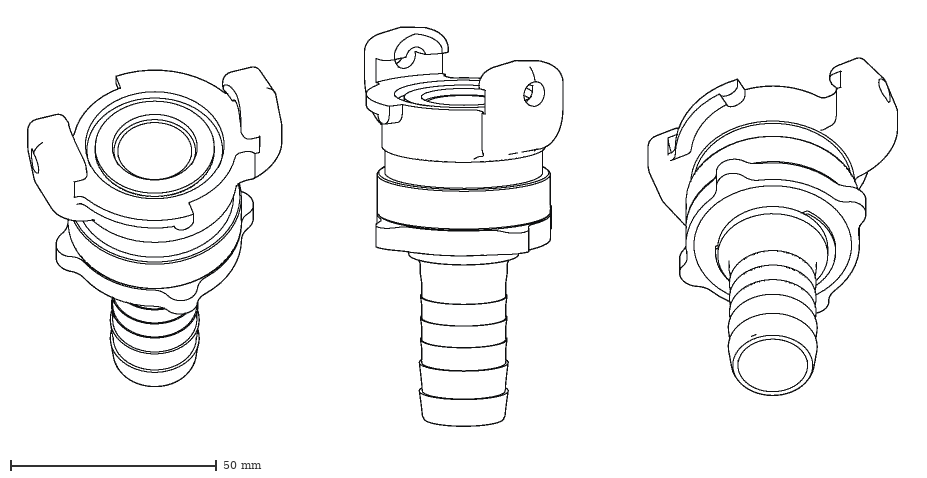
import cadquery as cq
import math

HEAD_TOP_Z = 80.6
BARREL_BOTTOM_Z = 67.6
BARREL_DIA = 39.9
NECK_DIA = 38.4
RECESS_TOP_DIA = 33.8
RECESS_BOTTOM_DIA = 33.0
RECESS_DEPTH = 1.95

FLANGE_RADIUS = 23.75
FLANGE_THICK = 2.9
STOP_RADIUS = 2.5
STOP_BOTTOM_Z = 75.8

CLAW_HALF_WIDTH = 9.8
CLAW_REACH = 31.0
CLAW_EDGE_RADIUS = 1.8
CLAW_FALL = 1 / 7
CLAW_TOP_FALL = 0.1
CLAW_TOP_Z = 92.8
ELBOW_RADIUS = 11.8
ELBOW_Z = 80.9
CLAW_ROOT_Y = 15.8
HOOK_BOTTOM_Z = 86.6
HOOK_MID_Y = 24.9
HOOK_ROUND = 4.8
HOOK_FACE_RADIUS = 21.0
HOOK_WALL_RADIUS = 25.6
CLAW_HOLE_DIA = 6.0
CLAW_HOLE_Z = 85.7
CLAW_BLEND = 1.9
FLANGE_BLEND = 2.0
RELIEF_RADIUS = 2.4
RELIEF_FLOOR_X = 8.5
RELIEF_Y = 20.3

SEAL_DIA = 29.0
SEAL_TOP_BORE = 20.7
SEAL_BOTTOM_BORE = 19.9
SEAL_TOP_Z = 79.9
SEAL_BOTTOM_Z = 78.4

COLLAR_DIA = 42.2
COLLAR_TOP_Z = 61.05
COLLAR_CHAMFER = 0.4
NUT_TOP_Z = 50.9
NUT_BOTTOM_Z = 44.5
NUT_RADIUS = 21.2
LOBE_COUNT = 4
LOBE_TIP_RADIUS = 50.0 / 2
LOBE_RADIUS = 4.2
LOBE_BLEND = 4.6
NUT_FACE_RADIUS = 20.3
NUT_TIP_DROP = 0.65

TAIL_BORE = 17.0
STEM_BORE = 18.0
STEM_DIA = 23.0
TAIL_FLANGE_DIA = 26.8
TAIL_FLANGE_TOP_Z = 43.5
TAIL_FLANGE_BOTTOM_Z = 40.8
TAIL_NECK_DIA = 21.25
TAIL_NECK_BOTTOM_Z = 36.1
TAIL_COVE = 2.8
TAIL_DIA = 20.5
NECK_TAPER_LENGTH = 2.5
SMALL_BARB_DIA = 21.2
SMALL_BARB_COUNT = 3
SMALL_BARB_TOP_Z = 30.4
SMALL_BARB_PITCH = 5.4
SMALL_BARB_LENGTH = 2.4
BIG_BARB_DIA = 21.7
BIG_BARB_FOOT_DIA = 20.2
BIG_BARB_TOP_Z = 13.9
LAST_BARB_TOP_Z = 6.9
TIP_CHAMFER_HEIGHT = 0.8
TIP_DIA = 19.5

RING_DIA = 29.3
RING_OFFSET = 1.5
RING_END_X = -6.0
RING_END_ROUND = 0.7

FAR = 55.7
TOUCH = 0.1


def cylinder(radius, bottom_z, top_z, x=0, y=0):
    return cq.Workplane("XY", origin=(x, y, bottom_z)).circle(radius).extrude(top_z - bottom_z)


def box(x_range, y_range, z_range):
    size = [high - low for low, high in (x_range, y_range, z_range)]
    corner = (x_range[0], y_range[0], z_range[0])
    return cq.Workplane("XY", origin=corner).box(*size, centered=False)


def revolved(profile):
    """Full turn of a closed (radius, z) outline about the Z axis."""
    return cq.Workplane("XZ").polyline(profile).close().revolve(360, (0, 0, 0), (0, 1, 0))


def make_flange_segment():
    """Quarter of the flange in the (+X, -Y) quadrant, with its half-round stop at +X."""
    quadrant = box((0, FAR), (-FAR, 0), (0, 2 * FAR))
    segment = cylinder(FLANGE_RADIUS, HEAD_TOP_Z - FLANGE_THICK, HEAD_TOP_Z).intersect(quadrant)
    stop_center_z = STOP_BOTTOM_Z + STOP_RADIUS
    stop = (
        cq.Workplane("YZ")
        .moveTo(-STOP_RADIUS, HEAD_TOP_Z)
        .lineTo(-STOP_RADIUS, stop_center_z)
        .threePointArc((0, STOP_BOTTOM_Z), (STOP_RADIUS, stop_center_z))
        .lineTo(STOP_RADIUS, HEAD_TOP_Z)
        .close()
        .extrude(FAR)
        .intersect(cylinder(FLANGE_RADIUS, STOP_BOTTOM_Z, HEAD_TOP_Z))
    )
    return segment.union(stop)


def make_hook_top():
    """Rounded block above the elbow, before the hook is opened."""
    half = CLAW_HALF_WIDTH
    depth = CLAW_REACH - HOOK_MID_Y
    side_depth = depth - half * CLAW_FALL
    shoulder_z = CLAW_TOP_Z - half * CLAW_TOP_FALL
    plan = [(0, depth), (half, side_depth), (half, -side_depth),
            (0, -depth), (-half, -side_depth), (-half, side_depth)]
    gable = [(-half, ELBOW_Z), (half, ELBOW_Z), (half, shoulder_z),
             (0, CLAW_TOP_Z), (-half, shoulder_z)]
    block = (
        cq.Workplane("XY", origin=(0, HOOK_MID_Y, ELBOW_Z))
        .polyline(plan).close().extrude(CLAW_TOP_Z - ELBOW_Z)
        .intersect(cq.Workplane("XZ", origin=(0, FAR, 0)).polyline(gable).close().extrude(FAR))
    )
    rim_zone = cq.selectors.BoxSelector((-FAR, 0, shoulder_z - TOUCH), (FAR, FAR, CLAW_TOP_Z - TOUCH))
    block = block.edges(rim_zone).fillet(HOOK_ROUND)
    return block.edges("|Z").edges("<X or >X").fillet(CLAW_EDGE_RADIUS)


def make_claw_arm():
    """Elbow and upright: two mirrored halves whose outer faces slope back from a centre ridge."""
    half = CLAW_HALF_WIDTH
    bend_y = CLAW_REACH - ELBOW_RADIUS
    bend_shift = ELBOW_RADIUS * math.sqrt(0.5)
    arm = (
        cq.Workplane("YZ", origin=(-FAR, 0, 0))
        .moveTo(0, ELBOW_Z - ELBOW_RADIUS)
        .lineTo(bend_y, ELBOW_Z - ELBOW_RADIUS)
        .threePointArc((bend_y + bend_shift, ELBOW_Z - bend_shift), (CLAW_REACH, ELBOW_Z))
        .lineTo(CLAW_REACH, HOOK_BOTTOM_Z)
        .lineTo(0, HOOK_BOTTOM_Z)
        .close()
        .extrude(2 * FAR)
    )
    slope_angle = math.degrees(math.atan(CLAW_FALL))
    arm = arm.rotate((0, CLAW_REACH, 0), (0, CLAW_REACH, 1), -slope_angle)
    arm = arm.intersect(box((0, half), (CLAW_ROOT_Y, FAR), (0, 2 * FAR)))
    arm = arm.union(arm.mirror("YZ"))

    shoulder_y = CLAW_REACH - half * CLAW_FALL
    for side in (-half, half):
        outer_edge = cq.selectors.BoxSelector(
            (side - TOUCH, CLAW_ROOT_Y + TOUCH, 0), (side + TOUCH, shoulder_y + TOUCH, HOOK_BOTTOM_Z - TOUCH))
        arm = arm.edges(outer_edge).fillet(CLAW_EDGE_RADIUS)
    return arm


def make_claw():
    """Claw on the +Y side, with its hook opened toward the axis."""
    claw = make_claw_arm().union(make_hook_top())
    claw = claw.cut(cylinder(HOOK_WALL_RADIUS, HEAD_TOP_Z, HOOK_BOTTOM_Z))
    claw = claw.cut(cylinder(HOOK_FACE_RADIUS, HEAD_TOP_Z, 2 * FAR))
    hole = cq.Workplane("XZ", origin=(0, FAR, CLAW_HOLE_Z)).circle(CLAW_HOLE_DIA / 2).extrude(FAR)
    return claw.cut(hole).cut(make_relief())


def make_relief():
    """Recess that narrows the claw root on its +X side and flares out to the full width."""
    center_x = RELIEF_FLOOR_X + RELIEF_RADIUS
    groove = cylinder(RELIEF_RADIUS, NUT_TOP_Z, HEAD_TOP_Z, center_x, RELIEF_Y)
    opening = box((RELIEF_FLOOR_X, center_x + RELIEF_RADIUS), (0, RELIEF_Y), (NUT_TOP_Z, HEAD_TOP_Z))
    return groove.union(opening)


def half_turns(feature):
    """The feature and its copy half a turn round the axis."""
    return [feature.rotate((0, 0, 0), (0, 0, 1), angle) for angle in (0, 180)]


def blend_claws(head):
    """Fillet the edges where the claws run into the barrel."""
    def lies_on_barrel(edge):
        points = [edge.positionAt(fraction) for fraction in (0, 0.5, 1)]
        return all(abs(math.hypot(p.x, p.y) - BARREL_DIA / 2) < TOUCH for p in points)

    lowest_z = ELBOW_Z - ELBOW_RADIUS - TOUCH
    edges = [
        edge for edge in head.edges().vals()
        if lies_on_barrel(edge) and lowest_z < edge.Center().z < HEAD_TOP_Z - TOUCH
    ]
    return cq.Workplane(head.val().fillet(CLAW_BLEND, edges))


def blend_flange(head):
    """Fillet the two upright corners between a claw side and a flange rim."""
    corner_y = math.sqrt(FLANGE_RADIUS**2 - CLAW_HALF_WIDTH**2)
    for x, y in ((CLAW_HALF_WIDTH, -corner_y), (-CLAW_HALF_WIDTH, corner_y)):
        corner = cq.selectors.BoxSelector(
            (x - TOUCH, y - TOUCH, HEAD_TOP_Z - FLANGE_THICK), (x + TOUCH, y + TOUCH, HEAD_TOP_Z))
        head = head.edges("|Z").edges(corner).fillet(FLANGE_BLEND)
    return head


def make_head_bore():
    recess_z = HEAD_TOP_Z - RECESS_DEPTH
    return revolved([
        (0, NUT_BOTTOM_Z),
        (STEM_DIA / 2, NUT_BOTTOM_Z),
        (STEM_DIA / 2, SEAL_BOTTOM_Z),
        (SEAL_DIA / 2, SEAL_BOTTOM_Z),
        (SEAL_DIA / 2, recess_z),
        (RECESS_BOTTOM_DIA / 2, recess_z),
        (RECESS_TOP_DIA / 2, HEAD_TOP_Z),
        (0, HEAD_TOP_Z),
    ])


def make_head():
    head = cylinder(BARREL_DIA / 2, NUT_TOP_Z, HEAD_TOP_Z)
    for claw in half_turns(make_claw()):
        head = head.union(claw)
    head = blend_claws(head)
    head = head.intersect(box((-FAR, FAR), (-FAR, FAR), (BARREL_BOTTOM_Z, 2 * FAR)))
    for segment in half_turns(make_flange_segment()):
        head = head.union(segment)
    head = blend_flange(head)
    head = head.union(cylinder(NECK_DIA / 2, NUT_BOTTOM_Z, BARREL_BOTTOM_Z))
    return head.cut(make_head_bore())


def make_seal():
    return revolved([
        (SEAL_BOTTOM_BORE / 2, SEAL_BOTTOM_Z),
        (SEAL_DIA / 2, SEAL_BOTTOM_Z),
        (SEAL_DIA / 2, SEAL_TOP_Z),
        (SEAL_TOP_BORE / 2, SEAL_TOP_Z),
    ])


def make_collar():
    ring = cylinder(COLLAR_DIA / 2, NUT_TOP_Z, COLLAR_TOP_Z)
    ring = ring.edges().chamfer(COLLAR_CHAMFER)
    return ring.cut(cylinder(NECK_DIA / 2, NUT_TOP_Z, COLLAR_TOP_Z))


def make_lobe_pad():
    """Rounded lobe at +X with concave blends running into the nut's rim."""
    lobe_x = LOBE_TIP_RADIUS - LOBE_RADIUS
    to_lobe = LOBE_RADIUS + LOBE_BLEND
    to_axis = NUT_RADIUS + LOBE_BLEND
    blend_x = (to_axis**2 - to_lobe**2 + lobe_x**2) / (2 * lobe_x)
    blend_y = math.sqrt(to_axis**2 - blend_x**2)
    rim = (blend_x * NUT_RADIUS / to_axis, blend_y * NUT_RADIUS / to_axis)
    join = (lobe_x + (blend_x - lobe_x) * LOBE_RADIUS / to_lobe, blend_y * LOBE_RADIUS / to_lobe)
    mid_dx = (rim[0] + join[0]) / 2 - blend_x
    mid_dy = (rim[1] + join[1]) / 2 - blend_y
    reach = LOBE_BLEND / math.hypot(mid_dx, mid_dy)
    mid = (blend_x + mid_dx * reach, blend_y + mid_dy * reach)
    return (
        cq.Workplane("XY", origin=(0, 0, NUT_BOTTOM_Z))
        .moveTo(0, 0)
        .lineTo(*rim)
        .threePointArc(mid, join)
        .threePointArc((LOBE_TIP_RADIUS, 0), (join[0], -join[1]))
        .threePointArc((mid[0], -mid[1]), (rim[0], -rim[1]))
        .close()
        .extrude(NUT_TOP_Z - NUT_BOTTOM_Z)
    )


def make_nut():
    nut = cylinder(NUT_RADIUS, NUT_BOTTOM_Z, NUT_TOP_Z)
    pad = make_lobe_pad()
    for index in range(LOBE_COUNT):
        nut = nut.union(pad.rotate((0, 0, 0), (0, 0, 1), index * 360 / LOBE_COUNT))
    nut = nut.intersect(revolved([
        (0, NUT_BOTTOM_Z),
        (NUT_FACE_RADIUS, NUT_BOTTOM_Z),
        (LOBE_TIP_RADIUS, NUT_BOTTOM_Z + NUT_TIP_DROP),
        (LOBE_TIP_RADIUS, NUT_TOP_Z - NUT_TIP_DROP),
        (NUT_FACE_RADIUS, NUT_TOP_Z),
        (0, NUT_TOP_Z),
    ]))
    return nut.cut(cylinder(NECK_DIA / 2, NUT_BOTTOM_Z, NUT_TOP_Z))


def make_tail():
    cove_z = TAIL_FLANGE_BOTTOM_Z - TAIL_COVE
    cove_shift = TAIL_COVE * math.sqrt(0.5)
    neck_radius = TAIL_NECK_DIA / 2
    outline = (
        cq.Workplane("XZ")
        .moveTo(TAIL_BORE / 2, TAIL_FLANGE_TOP_Z)
        .lineTo(STEM_BORE / 2, TAIL_FLANGE_TOP_Z)
        .lineTo(STEM_BORE / 2, SEAL_BOTTOM_Z)
        .lineTo(STEM_DIA / 2, SEAL_BOTTOM_Z)
        .lineTo(STEM_DIA / 2, TAIL_FLANGE_TOP_Z)
        .lineTo(TAIL_FLANGE_DIA / 2, TAIL_FLANGE_TOP_Z)
        .lineTo(TAIL_FLANGE_DIA / 2, TAIL_FLANGE_BOTTOM_Z)
        .threePointArc((neck_radius + TAIL_COVE - cove_shift, cove_z + cove_shift), (neck_radius, cove_z))
        .lineTo(neck_radius, TAIL_NECK_BOTTOM_Z)
        .lineTo(TAIL_DIA / 2, TAIL_NECK_BOTTOM_Z - NECK_TAPER_LENGTH)
    )
    for index in range(SMALL_BARB_COUNT):
        barb_z = SMALL_BARB_TOP_Z - index * SMALL_BARB_PITCH
        outline = (
            outline.lineTo(TAIL_DIA / 2, barb_z)
            .lineTo(SMALL_BARB_DIA / 2, barb_z)
            .lineTo(TAIL_DIA / 2, barb_z - SMALL_BARB_LENGTH)
        )
    outline = (
        outline.lineTo(TAIL_DIA / 2, BIG_BARB_TOP_Z)
        .lineTo(BIG_BARB_DIA / 2, BIG_BARB_TOP_Z)
        .lineTo(BIG_BARB_FOOT_DIA / 2, LAST_BARB_TOP_Z)
        .lineTo(BIG_BARB_DIA / 2, LAST_BARB_TOP_Z)
        .lineTo(BIG_BARB_FOOT_DIA / 2, TIP_CHAMFER_HEIGHT)
        .lineTo(TIP_DIA / 2, 0)
        .lineTo(TAIL_BORE / 2, 0)
        .close()
    )
    return outline.revolve(360, (0, 0, 0), (0, 1, 0))


def make_retaining_ring():
    ring = cylinder(RING_DIA / 2, TAIL_FLANGE_TOP_Z, NUT_BOTTOM_Z, RING_OFFSET)
    ring = ring.cut(cylinder(STEM_DIA / 2, TAIL_FLANGE_TOP_Z, NUT_BOTTOM_Z))
    ring = ring.intersect(box((RING_END_X, FAR), (-FAR, FAR), (0, FAR)))
    return ring.edges("|Z and <X").fillet(RING_END_ROUND)


head = make_head()
seal = make_seal()
collar = make_collar()
nut = make_nut()
tail = make_tail()
retaining_ring = make_retaining_ring()

result = cq.Compound.makeCompound([
    head.val(), seal.val(), collar.val(), nut.val(), tail.val(), retaining_ring.val(),
])